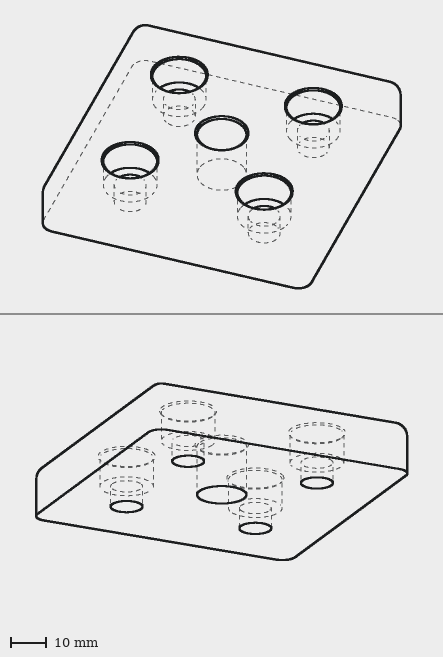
import cadquery as cq

side = 80.0
thickness = 15.0
edge_radius = 4.0

screw_spacing = side / 2
screw_diameter = 9.0
counterbore_diameter = 15.0
counterbore_depth = 9.0
counterbore_chamfer = 0.5

center_diameter = 13.8
center_chamfer = 0.6


def rounded_plate():
    """Square plate on Z = 0 with rounded upright and top edges."""
    plate = cq.Workplane("XY").box(side, side, thickness, centered=(True, True, False))
    return plate.edges("|Z").fillet(edge_radius).faces(">Z").edges().fillet(edge_radius)


def chamfered_bore(diameter, depth, chamfer):
    """Cutter reaching down from the top face, widened by a 45 degree chamfer at its mouth."""
    radius = diameter / 2
    bottom = thickness - depth
    profile = (
        cq.Workplane("XZ")
        .moveTo(0, bottom)
        .lineTo(radius, bottom)
        .lineTo(radius, thickness - chamfer)
        .lineTo(radius + chamfer, thickness)
        .lineTo(0, thickness)
        .close()
    )
    return profile.revolve(360, (0, 0), (0, 1))


result = rounded_plate().cut(chamfered_bore(center_diameter, thickness, center_chamfer))

screw_hole = chamfered_bore(counterbore_diameter, counterbore_depth, counterbore_chamfer).union(
    cq.Workplane("XY").circle(screw_diameter / 2).extrude(thickness)
)
for x_sign in (-1, 1):
    for y_sign in (-1, 1):
        position = (x_sign * screw_spacing / 2, y_sign * screw_spacing / 2, 0)
        result = result.cut(screw_hole.translate(position))